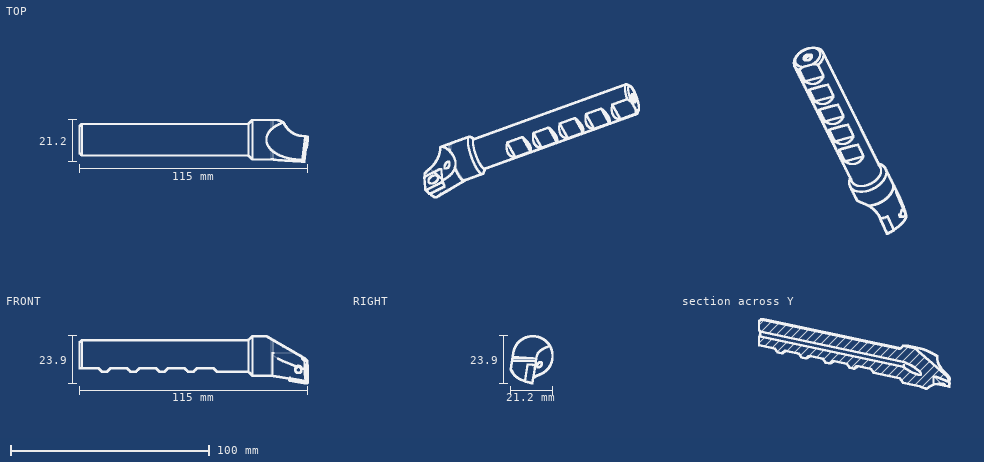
import cadquery as cq
import math

SHANK_DIA = 16.0
SHANK_CHAMFER = 1.3
COLLAR_DIA = 20.0
COLLAR_START = 85.0
COLLAR_END = 96.4
SHANK_R = SHANK_DIA / 2
COLLAR_R = COLLAR_DIA / 2
COLLAR_CONE = COLLAR_R - SHANK_R

GROOVE_HALF_WIDTH = 0.7
GROOVE_DEPTH = 0.06
HEAD_START = COLLAR_END + GROOVE_HALF_WIDTH

FLAT_Z = -6.2
FLAT_LENGTH = 8.4
FLAT_PITCH = 14.5
FLAT_COUNT = 5
FLAT_FIRST_END = 9.5

COOLANT_HOLE_DIA = 3.0
COOLANT_HOLE_MOUTH_DIA = 4.4
COOLANT_HOLE_DEPTH = 87.4
DUCT_DIRECTION = (12.6, 3.0, -4.0)
DUCT_LENGTH = 23.0

ROLL = 9.0
HEAD_DROOP = 0.16
HEAD_DRIFT = 0.12
HEAD_LENGTH = 23.0
SLOPE_ANGLE = 30.0
SLOPE_START = 94.1
END_X = 114.5
END_RELIEF = 7.0
END_CHAMFER_X = 1.2
END_CHAMFER_Z = 1.2
END_CHAMFER_BOTTOM = -2.5

POCKET_R = 12.6
POCKET_ARC_END = 111.5
REACH = 46.0

TIP_X = 115.0
TIP_Y = -0.2
TIP_Z = -14.0
INSERT_ANGLE = 80.0
INSERT_LEAN = 0.2
INSERT_CIRCLE_DIA = 9.5
INSERT_THICKNESS = 3.9
INSERT_RELIEF = 7.0
NOSE_R = 0.8
INSERT_SIDE = INSERT_CIRCLE_DIA / math.sin(math.radians(INSERT_ANGLE))

SCREW_DIA = 3.0
SCREW_HEAD_DIA = 5.3
SCREW_LENGTH = 9.2
SCREW_EXIT_DIA = 3.3

SIN_ROLL = math.sin(math.radians(ROLL))
COS_ROLL = math.cos(math.radians(ROLL))
TAN_SLOPE = math.tan(math.radians(SLOPE_ANGLE))

INTO_HOLDER = (0, -COS_ROLL, SIN_ROLL)


def cutting_face_plane(x, height):
    """Plane on the cutting face, looking into the holder, at a height along the face above the tip."""
    origin = (x, TIP_Y + height * SIN_ROLL, TIP_Z + height * COS_ROLL)
    return cq.Plane(origin=origin, xDir=(1, 0, 0), normal=INTO_HOLDER)


def turned_body():
    """Shank, shoulder, collar, groove and the straight part of the head."""
    outline = [
        (0, 0),
        (0, SHANK_R - SHANK_CHAMFER),
        (SHANK_CHAMFER, SHANK_R),
        (COLLAR_START, SHANK_R),
        (COLLAR_START + COLLAR_CONE, COLLAR_R),
        (COLLAR_END, COLLAR_R),
        (HEAD_START, COLLAR_R - GROOVE_DEPTH),
        (HEAD_START + GROOVE_HALF_WIDTH, COLLAR_R),
        (HEAD_START + HEAD_LENGTH, COLLAR_R),
        (HEAD_START + HEAD_LENGTH, 0),
    ]
    return cq.Workplane("XY").polyline(outline).close().revolve(360, (0, 0, 0), (1, 0, 0))


def lower_head():
    """Drooping cylinder trimmed by the side flat, which is tangent to the straight head."""
    droop_plane = cq.Plane(
        origin=(HEAD_START, 0, 0), xDir=(0, 1, 0), normal=(1, -HEAD_DRIFT, -HEAD_DROOP)
    )
    cylinder = cq.Workplane(droop_plane).circle(COLLAR_R - GROOVE_DEPTH).extrude(HEAD_LENGTH, both=True)
    trim_plane = cq.Plane(origin=(HEAD_START, 0, 0), xDir=(1, 0, 0), normal=INTO_HOLDER)
    trim = (
        cq.Workplane(trim_plane)
        .workplane(offset=-REACH)
        .rect(REACH, -REACH, centered=False)
        .extrude(REACH + COLLAR_R)
    )
    return cylinder.intersect(trim)


def slope_cutter():
    """Everything above the sloping top face."""
    foot_z = COLLAR_R - REACH * TAN_SLOPE
    outline = [
        (SLOPE_START, COLLAR_R),
        (SLOPE_START + REACH, foot_z),
        (SLOPE_START + REACH, COLLAR_R + REACH),
        (SLOPE_START, COLLAR_R + REACH),
    ]
    return cq.Workplane("XZ").polyline(outline).close().extrude(REACH, both=True)


def end_cutter():
    """Everything beyond the relieved end face and the chamfer above it."""
    outline = [
        (END_X, -REACH),
        (END_X, END_CHAMFER_BOTTOM),
        (END_X - END_CHAMFER_X, END_CHAMFER_BOTTOM + END_CHAMFER_Z),
        (END_X - END_CHAMFER_X, REACH),
        (END_X + REACH, REACH),
        (END_X + REACH, -REACH),
    ]
    cutter = cq.Workplane("XZ").polyline(outline).close().extrude(REACH, both=True)
    return cutter.rotate((END_X, TIP_Y, 0), (END_X, TIP_Y, 1), -END_RELIEF)


def chip_pocket():
    """Pocket with a flat wall in the cutting face, run out by an arc towards the collar."""
    arc_end_z = COLLAR_R - (POCKET_ARC_END - SLOPE_START) * TAN_SLOPE
    arc_end_y = TIP_Y + (arc_end_z - TIP_Z) * SIN_ROLL / COS_ROLL
    plane = cq.Plane(
        origin=(POCKET_ARC_END, arc_end_y, arc_end_z),
        xDir=(1, -TAN_SLOPE * SIN_ROLL, -TAN_SLOPE * COS_ROLL),
        normal=(TAN_SLOPE, SIN_ROLL, COS_ROLL),
    )
    return (
        cq.Workplane(plane)
        .moveTo(REACH, 0)
        .lineTo(0, 0)
        .radiusArc((-POCKET_R, POCKET_R), POCKET_R)
        .lineTo(-POCKET_R, REACH)
        .lineTo(REACH, REACH)
        .close()
        .extrude(REACH, both=True)
    )


def clamping_flats():
    """Flats with 45 degree ends; the first one runs out through the rear face."""
    drop = SHANK_R + FLAT_Z
    cutters = cq.Workplane("XZ")
    for index in range(FLAT_COUNT):
        end = FLAT_FIRST_END + index * FLAT_PITCH
        start = end - FLAT_LENGTH if index else -drop
        outline = [
            (start, FLAT_Z),
            (end, FLAT_Z),
            (end + drop, FLAT_Z - drop),
            (start - drop, FLAT_Z - drop),
        ]
        notch = cq.Workplane("XZ").polyline(outline).close().extrude(SHANK_R, both=True)
        cutters = cutters.add(notch)
    return cutters.combine()


def coolant_hole():
    """Axial hole with a 45 degree mouth, then a round bend into a duct that opens in the chip pocket."""
    radius = COOLANT_HOLE_DIA / 2
    mouth_r = COOLANT_HOLE_MOUTH_DIA / 2
    bore = cq.Workplane("YZ").circle(radius).extrude(COOLANT_HOLE_DEPTH)
    mouth = cq.Workplane("YZ").circle(mouth_r).extrude(mouth_r - radius, taper=45)
    duct_plane = cq.Plane(origin=(COOLANT_HOLE_DEPTH, 0, 0), xDir=(0, 1, 0), normal=DUCT_DIRECTION)
    duct = cq.Workplane(duct_plane).circle(radius).extrude(DUCT_LENGTH)
    bend = cq.Workplane("XY").sphere(radius).translate((COOLANT_HOLE_DEPTH, 0, 0))
    return bore.union(mouth).union(bend).union(duct)


def insert_corners():
    """Rhombus corners on the cutting face, going round from the tip by the front edge."""
    front = math.radians(90 + INSERT_LEAN)
    lower = math.radians(90 + INSERT_LEAN + INSERT_ANGLE)
    front_x, front_y = INSERT_SIDE * math.cos(front), INSERT_SIDE * math.sin(front)
    lower_x, lower_y = INSERT_SIDE * math.cos(lower), INSERT_SIDE * math.sin(lower)
    return [(0, 0), (front_x, front_y), (front_x + lower_x, front_y + lower_y), (lower_x, lower_y)]


def screw_plane():
    """Cutting face plane centred on the insert."""
    far_x, far_y = insert_corners()[2]
    return cutting_face_plane(TIP_X + far_x / 2, far_y / 2)


def insert_blank():
    """Rhombic insert with relieved sides and rounded noses, flush with the cutting face."""
    corners = insert_corners()
    outline = cq.Sketch().polygon(corners + corners[:1]).vertices().fillet(NOSE_R)
    plane = cutting_face_plane(TIP_X, 0)
    return cq.Workplane(plane).placeSketch(outline).extrude(INSERT_THICKNESS, taper=INSERT_RELIEF)


def clamp_screw():
    """Countersunk screw through the centre of the insert, its head flush with the cutting face."""
    head_r = SCREW_HEAD_DIA / 2
    shaft_r = SCREW_DIA / 2
    plane = screw_plane()
    shaft = cq.Workplane(plane).circle(shaft_r).extrude(SCREW_LENGTH)
    head = cq.Workplane(plane).circle(head_r).extrude(head_r - shaft_r, taper=45)
    return shaft.union(head)


def screw_exit():
    """Clearance hole beyond the end of the screw, open on the side flat."""
    return (
        cq.Workplane(screw_plane())
        .workplane(offset=SCREW_LENGTH)
        .circle(SCREW_EXIT_DIA / 2)
        .extrude(REACH)
    )


def make_holder(insert_space, screw_space):
    """Shank, collar and head with the spaces for the insert and its screw."""
    holder = turned_body().union(lower_head())
    holder = holder.cut(slope_cutter()).cut(end_cutter()).cut(chip_pocket())
    holder = holder.cut(clamping_flats()).cut(coolant_hole())
    return holder.cut(insert_space).cut(screw_space).cut(screw_exit())


screw = clamp_screw()
blank = insert_blank()
insert = blank.cut(screw)
holder = make_holder(blank, screw)

result = cq.Compound.makeCompound([holder.val(), insert.val(), screw.val()])